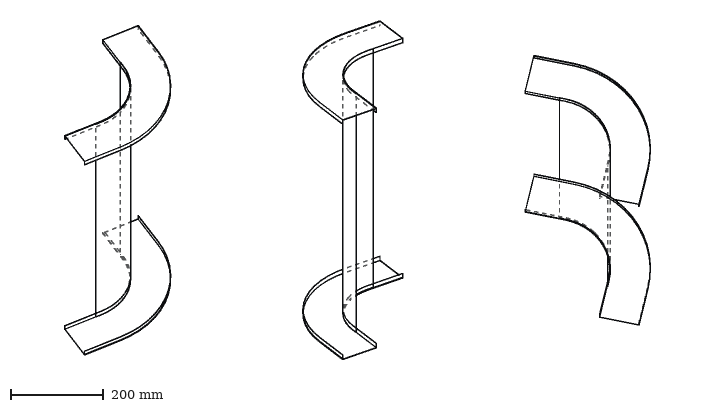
import cadquery as cq
import math

total_height = 603.0
tray_span = 298.5
tray_width = 88.0
straight_length = 90.0
flange_depth = 11.5
sheet = 1.0
web = 1.5
panel_tail = 14.5

bend_center = straight_length
outer_radius = tray_span - straight_length
inner_radius = outer_radius - tray_width
panel_radius = inner_radius + sheet
panel_height = total_height - 2 * web


def curved_strip(small_radius, large_radius, tail, bottom, height):
    """Quarter-turn strip between two radii, with a straight tail at each end."""
    diagonal = math.sqrt(0.5)
    return (
        cq.Workplane("XY", origin=(bend_center, bend_center, bottom))
        .moveTo(-tail, small_radius)
        .lineTo(0, small_radius)
        .threePointArc((small_radius * diagonal, small_radius * diagonal), (small_radius, 0))
        .lineTo(small_radius, -tail)
        .lineTo(large_radius, -tail)
        .lineTo(large_radius, 0)
        .threePointArc((large_radius * diagonal, large_radius * diagonal), (0, large_radius))
        .lineTo(-tail, large_radius)
        .close()
        .extrude(height)
    )


def make_tray(bottom, channel_floor):
    """U-shaped channel: a full-depth strip hollowed from channel_floor, open at both ends."""
    body = curved_strip(inner_radius, outer_radius, straight_length, bottom, flange_depth)
    channel = curved_strip(
        inner_radius + sheet,
        outer_radius - sheet,
        straight_length,
        channel_floor,
        flange_depth - web,
    )
    return body.cut(channel)


def make_panel():
    """Upright curved sheet standing between the two tray webs."""
    return curved_strip(panel_radius, panel_radius + sheet, panel_tail, web, panel_height)


top_tray_bottom = total_height - flange_depth
lower_tray = make_tray(0, web)
upper_tray = make_tray(top_tray_bottom, top_tray_bottom)
panel = make_panel()

result = cq.Compound.makeCompound([lower_tray.val(), upper_tray.val(), panel.val()])